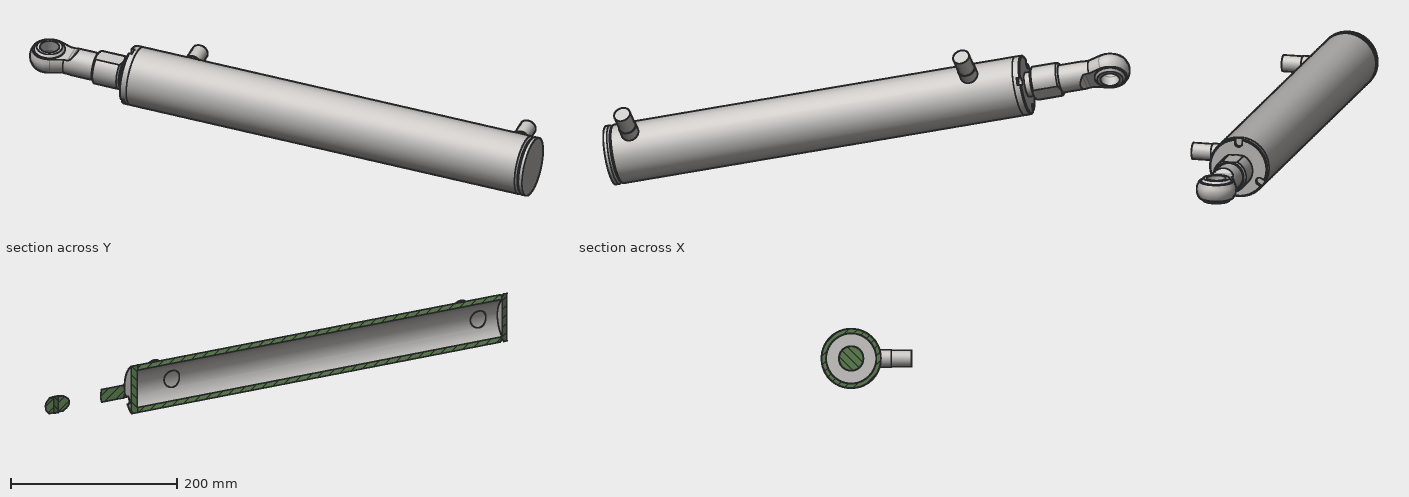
import cadquery as cq
import math


barrel_diameter = 72.0
barrel_radius = barrel_diameter / 2
barrel_bore_diameter = 60.0
gland_face_x = 103.5
gland_length = 9.0
cap_end_x = 623.0
cap_length = 7.0
weld_groove_depth = 2.5
barrel_start_x = gland_face_x + gland_length
barrel_end_x = cap_end_x - cap_length

notch_count = 3
notch_radius = 4.5
notch_circle_radius = 30.5
notch_depth = 4.5
gland_edge_chamfer = 1.0

rod_diameter = 30.0
rod_start_x = 96.0

eye_radius = 24.0
eye_thickness = 20.0
shank_radius = 17.0
shank_start_x = 23.0
cheek_end_x = 30.0
cheek_fillet_radius = 5.0
wrench_start_x = 61.0
wrench_diameter = 41.0
wrench_across_flats = 36.0
wrench_chamfer = 2.25

bush_radius = 19.0
bush_length = 28.0
bush_hole_radius = 11.5
bush_chamfer = 3.0

port_positions_x = (166.0, 589.5)
collar_diameter = 21.5
collar_end_y = 48.5
pipe_diameter = 20.0
overall_width = 109.0
pipe_end_y = overall_width - barrel_radius


def cylinder_along_x(radius, start_x, end_x):
    return cq.Workplane("YZ").workplane(offset=start_x).circle(radius).extrude(end_x - start_x)


def cylinder_along_y(radius, x, start_y, end_y):
    """Cylinder from start_y to end_y, with its axis crossing the X axis at x."""
    plane = cq.Plane(origin=(x, start_y, 0), xDir=(1, 0, 0), normal=(0, 1, 0))
    return cq.Workplane(plane).circle(radius).extrude(end_y - start_y)


def make_barrel():
    """Tube with a bevelled end for the cap and a hole in its wall for each port collar."""
    barrel = cylinder_along_x(barrel_radius, barrel_start_x, barrel_end_x)
    barrel = barrel.faces(">X").edges().chamfer(weld_groove_depth)
    barrel = barrel.cut(cylinder_along_x(barrel_bore_diameter / 2, barrel_start_x, barrel_end_x))
    for x in port_positions_x:
        barrel = barrel.cut(cylinder_along_y(collar_diameter / 2, x, 0, barrel_radius))
    return barrel


def make_notch():
    """Round-bottomed slot in the gland face, open at the top of the rim."""
    slot_height = barrel_radius - notch_circle_radius
    return (
        cq.Workplane("YZ")
        .workplane(offset=gland_face_x)
        .moveTo(-notch_radius, notch_circle_radius)
        .threePointArc((0, notch_circle_radius - notch_radius), (notch_radius, notch_circle_radius))
        .vLine(slot_height)
        .hLine(-2 * notch_radius)
        .close()
        .extrude(notch_depth)
    )


def make_gland():
    gland = cylinder_along_x(barrel_radius, gland_face_x, barrel_start_x)
    gland = gland.faces("<X").edges().chamfer(gland_edge_chamfer)
    gland = gland.cut(cylinder_along_x(rod_diameter / 2, gland_face_x, barrel_start_x))
    for index in range(notch_count):
        notch = make_notch().rotate((0, 0, 0), (1, 0, 0), index * 360 / notch_count)
        gland = gland.cut(notch)
    return gland


def make_end_cap():
    cap = cylinder_along_x(barrel_radius, barrel_end_x, cap_end_x)
    return cap.faces("<X").edges().chamfer(weld_groove_depth)


def make_rod():
    return cylinder_along_x(rod_diameter / 2, rod_start_x, barrel_end_x)


def rounded_side_profile(plane, inner_reach):
    """Slab section as thick as the eye, its outer side bulging with the radius of the shank."""
    half = eye_thickness / 2
    edge_reach = eye_radius - shank_radius + math.sqrt(shank_radius**2 - half**2)
    return (
        cq.Workplane(plane)
        .moveTo(inner_reach, -half)
        .lineTo(edge_reach, -half)
        .threePointArc((eye_radius, 0), (edge_reach, half))
        .lineTo(inner_reach, half)
        .close()
    )


def make_eye():
    """Round eye with a bulging rim."""
    return rounded_side_profile("XZ", 0).revolve(360, (0, 0, 0), (0, 1, 0))


def make_neck():
    """Web whose two sides leave the eye tangentially and narrow to the width of the shank."""
    reach = math.hypot(shank_start_x, shank_radius)
    tangent_angle = math.atan2(shank_radius, shank_start_x) + math.acos(eye_radius / reach)
    outward = (math.cos(tangent_angle), math.sin(tangent_angle), 0)
    along_side = (math.sin(tangent_angle), -math.cos(tangent_angle), 0)
    side_plane = cq.Plane(origin=(0, 0, 0), xDir=outward, normal=along_side)
    left_side = rounded_side_profile(side_plane, -2 * eye_radius).extrude(2 * eye_radius)
    right_side = left_side.mirror("XZ")
    limits = cq.Workplane("XY").box(shank_start_x, 2 * eye_radius, eye_thickness)
    return left_side.intersect(right_side).intersect(limits.translate((shank_start_x / 2, 0, 0)))


def make_shank():
    """Round shank whose top and bottom slope down at 45 degrees to the eye thickness."""
    half = eye_thickness / 2
    slope_end_x = cheek_end_x + shank_radius - half
    profile = (
        cq.Workplane("XZ")
        .polyline(
            [
                (shank_start_x, -half),
                (cheek_end_x, -half),
                (slope_end_x, -shank_radius),
                (wrench_start_x, -shank_radius),
                (wrench_start_x, shank_radius),
                (slope_end_x, shank_radius),
                (cheek_end_x, half),
                (shank_start_x, half),
            ]
        )
        .close()
        .extrude(shank_radius, both=True)
    )
    for z in (-half, half):
        foot_of_slope = cq.selectors.NearestToPointSelector((cheek_end_x, 0, z))
        profile = profile.edges(foot_of_slope).fillet(cheek_fillet_radius)
    return cylinder_along_x(shank_radius, shank_start_x, wrench_start_x).intersect(profile)


def make_wrench_section():
    """Round section with two flats, one on top and one underneath."""
    length = rod_start_x - wrench_start_x
    section = cylinder_along_x(wrench_diameter / 2, wrench_start_x, rod_start_x)
    section = section.faces("<X or >X").edges().chamfer(wrench_chamfer)
    flats = cq.Workplane("XY").box(length, wrench_diameter, wrench_across_flats)
    return section.intersect(flats.translate((wrench_start_x + length / 2, 0, 0)))


def make_rod_end():
    rod_end = make_eye().union(make_neck()).union(make_shank()).union(make_wrench_section())
    return rod_end.cut(cq.Workplane("XY").circle(bush_radius).extrude(eye_thickness, both=True))


def make_bush():
    """Bush that stands out evenly above and below the eye."""
    bush = cq.Workplane("XY").circle(bush_radius).extrude(bush_length / 2, both=True)
    bush = bush.faces("<Z or >Z").edges().chamfer(bush_chamfer)
    return bush.cut(cq.Workplane("XY").circle(bush_hole_radius).extrude(bush_length, both=True))


def make_port_collar(x):
    """Collar set into the barrel wall, its inner end following the bore."""
    collar = cylinder_along_y(collar_diameter / 2, x, 0, collar_end_y)
    return collar.cut(cylinder_along_x(barrel_bore_diameter / 2, barrel_start_x, barrel_end_x))


def make_port_pipe(x):
    return cylinder_along_y(pipe_diameter / 2, x, collar_end_y, pipe_end_y)


barrel = make_barrel()
gland = make_gland()
end_cap = make_end_cap()
rod = make_rod()
rod_end = make_rod_end()
bush = make_bush()
port_collars = [make_port_collar(x) for x in port_positions_x]
port_pipes = [make_port_pipe(x) for x in port_positions_x]

result = cq.Compound.makeCompound(
    [
        barrel.val(),
        gland.val(),
        end_cap.val(),
        rod.val(),
        rod_end.val(),
        bush.val(),
        *[collar.val() for collar in port_collars],
        *[pipe.val() for pipe in port_pipes],
    ]
)